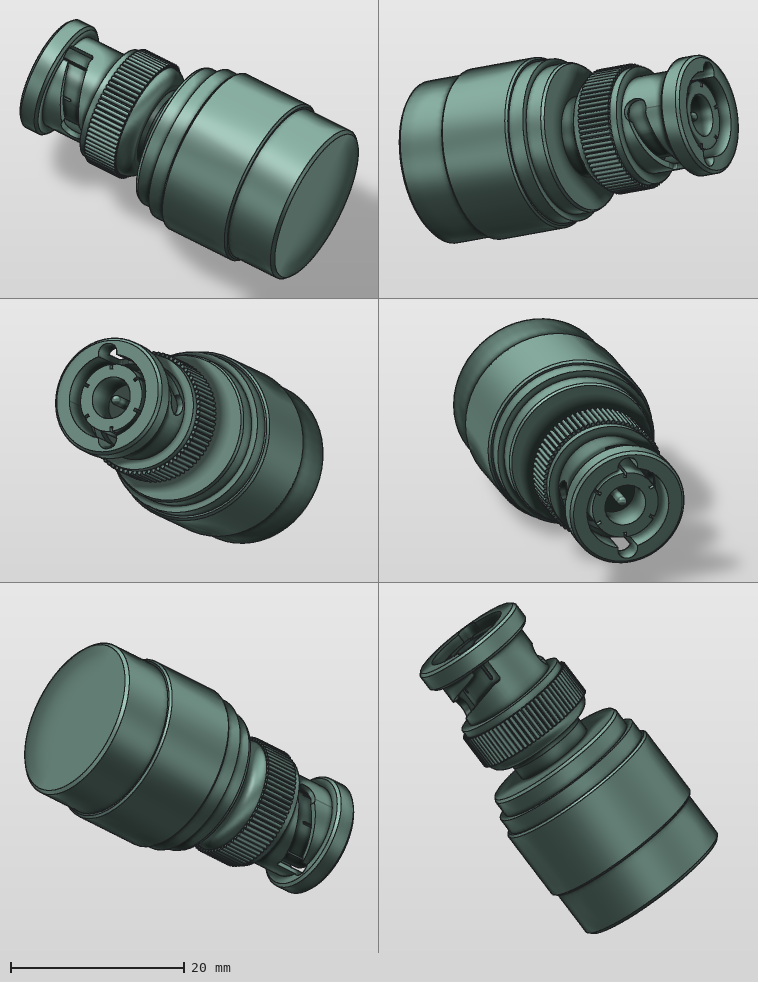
import cadquery as cq

flange_end = 2.47
collar_start = 8.35
knurl_start = 9.22
knurl_end = 13.25
nut_end = 14.8
plug_end = 15.45
housing_start = 17.05
shoulder_start = 19.4
barrel_start = 21.27
barrel_end = 30.2
total_length = 36.3

flange_radius = 6.95
sleeve_radius = 5.7
nut_radius = 6.85
stem_radius = 4.72
housing_front_radius = 8.75
housing_radius = 9.5
barrel_radius = 20.0 / 2

flange_chamfer = 0.33
nut_round = nut_end - knurl_end
front_chamfer_length = 0.35
front_chamfer_drop = 0.18
barrel_chamfer = 0.25
rear_chamfer = 0.35

bore_radius = 4.97
bore_end = collar_start
core_start = 0.95
core_radius = 4.0
socket_radius = 2.47
socket_end = 5.1
pin_radius = 0.55
pin_tip = 1.65

spring_slot_count = 6
spring_slot_width = 0.33
spring_slot_end = 4.97
spring_slot_floor = 3.45

ridge_count = 72
ridge_crest_radius = 7.3
ridge_half_width = 0.2
knurl_root_radius = nut_radius - 0.18

track_count = 2
keyway_radius = 1.2
keyway_center = 5.1
keyway_end = 5.3
keyway_end_round = 0.35
ramp_start = 4.05
ramp_width = 2.47
detent_x = 6.5
detent_radius = 1.45
ramp_floor = 4.35
ramp_top = 6.17


def x_cylinder(radius, start, end):
    """Cylinder on the X axis between two stations."""
    return cq.Workplane("YZ", origin=(start, 0, 0)).circle(radius).extrude(end - start)


def turn_about_x(shape, angle):
    return shape.rotate((0, 0, 0), (1, 0, 0), angle)


def make_knurl():
    """Ring of axial ridges on the nut, each with straight sides and a half-round crest."""
    shoulder_radius = ridge_crest_radius - ridge_half_width
    ridge = (
        cq.Workplane("YZ", origin=(knurl_start, 0, 0))
        .moveTo(-ridge_half_width, knurl_root_radius)
        .lineTo(-ridge_half_width, shoulder_radius)
        .threePointArc((0, ridge_crest_radius), (ridge_half_width, shoulder_radius))
        .lineTo(ridge_half_width, knurl_root_radius)
        .close()
        .extrude(knurl_end - knurl_start)
    )
    ridges = [turn_about_x(ridge, index * 360 / ridge_count).val() for index in range(ridge_count)]
    return cq.Workplane(obj=cq.Compound.makeCompound(ridges))


def make_sleeve_and_stem():
    """Solid outside of the plug: flange, sleeve, knurled nut and stem."""
    flange = x_cylinder(flange_radius, 0, flange_end).edges().chamfer(flange_chamfer)
    sleeve = x_cylinder(sleeve_radius, flange_end, collar_start)
    nut = x_cylinder(nut_radius, collar_start, nut_end).faces(">X").edges().fillet(nut_round)
    stem = x_cylinder(stem_radius, nut_end, plug_end)
    return flange.union(sleeve).union(nut).union(make_knurl()).union(stem)


def make_spring_slot():
    """Cutter for the slot at the top of the core rim, with a rounded inner end."""
    straight_end = spring_slot_end - spring_slot_width / 2
    return (
        cq.Workplane("XY", origin=(0, 0, spring_slot_floor))
        .moveTo(0, -spring_slot_width / 2)
        .lineTo(straight_end, -spring_slot_width / 2)
        .threePointArc((spring_slot_end, 0), (straight_end, spring_slot_width / 2))
        .lineTo(0, spring_slot_width / 2)
        .close()
        .extrude(core_radius - spring_slot_floor)
    )


def make_core():
    """Slotted tube in the bore, with the centre pin standing in its socket."""
    core = x_cylinder(core_radius, core_start, bore_end)
    core = core.cut(x_cylinder(socket_radius, core_start, socket_end))
    for index in range(spring_slot_count):
        core = core.cut(turn_about_x(make_spring_slot(), index * 360 / spring_slot_count))
    ball_center = pin_tip + pin_radius
    pin = x_cylinder(pin_radius, ball_center, socket_end)
    ball = cq.Workplane("XY", origin=(ball_center, 0, 0)).sphere(pin_radius)
    return core.union(pin.union(ball))


def make_keyway():
    """Cutter for the straight entry groove at the top of the bore."""
    groove = cq.Workplane("YZ", origin=(0, 0, keyway_center)).circle(keyway_radius).extrude(keyway_end)
    return groove.faces(">X").edges().fillet(keyway_end_round)


def make_ramp():
    """Cutter for the quarter-turn helical track from the keyway (+Z) to the detent (-Y)."""
    ramp_rise = detent_x - ramp_start
    ramp_lead = 4 * ramp_rise
    mean_radius = (ramp_floor + ramp_top) / 2
    helix = cq.Wire.makeHelix(ramp_lead, ramp_rise, mean_radius)
    section = cq.Workplane("XZ", origin=(mean_radius, 0, 0)).rect(ramp_top - ramp_floor, ramp_width)
    ramp = section.sweep(cq.Workplane(obj=helix), isFrenet=True)
    ramp = ramp.rotate((0, 0, 0), (0, 1, 0), 90)
    ramp = turn_about_x(ramp, 180)
    return ramp.translate((ramp_start, 0, 0))


def make_detent():
    """Cutter for the round hole at the end of the ramp, on the -Y side."""
    return (
        cq.Workplane("XZ", origin=(detent_x, -ramp_floor, 0))
        .circle(detent_radius)
        .extrude(ramp_top - ramp_floor)
    )


def make_plug():
    """Bayonet plug in one piece: sleeve with its tracks, core and pin."""
    plug = make_sleeve_and_stem().cut(x_cylinder(bore_radius, 0, bore_end))
    track_cutters = [make_keyway(), make_ramp(), make_detent()]
    for index in range(track_count):
        for cutter in track_cutters:
            plug = plug.cut(turn_about_x(cutter, index * 360 / track_count))
    return plug.union(make_core())


def make_housing():
    """Plain stepped housing behind the plug."""
    stem = x_cylinder(stem_radius, plug_end, housing_start)
    front = x_cylinder(housing_front_radius, housing_start, shoulder_start)
    front = front.faces("<X").edges().chamfer(front_chamfer_length, front_chamfer_drop)
    body = x_cylinder(housing_radius, shoulder_start, total_length)
    body = body.faces(">X").edges().chamfer(rear_chamfer)
    barrel = x_cylinder(barrel_radius, barrel_start, barrel_end).edges().chamfer(barrel_chamfer)
    return stem.union(front).union(body).union(barrel)


plug = make_plug()
housing = make_housing()
result = cq.Compound.makeCompound([plug.solids().val(), housing.solids().val()])